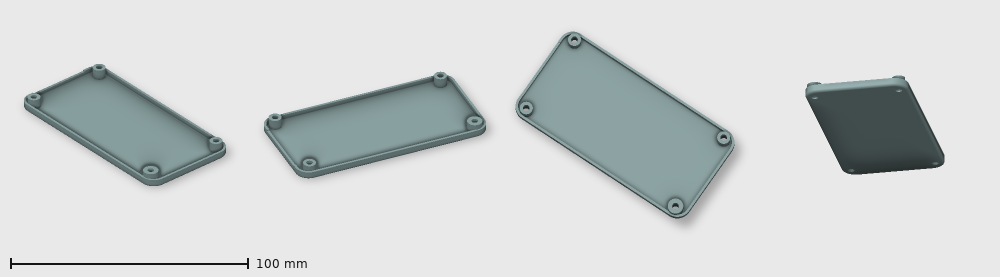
import cadquery as cq

length = 87.0
width = 44.0
rim_height = 3.5
corner_radius = 6.0
bottom_fillet = 1.05

wall = 1.05
floor_thickness = 1.2
floor_fillet = 0.35

boss_top = 5.7
boss_diameter = 5.5
large_boss_diameter = 6.5
hole_diameter = 2.8
boss_spacing_x = 75.9
boss_spacing_y = 36.0

relief_length = 27.75
relief_depth = 0.5


def rounded_block(size_x, size_y, bottom, top, radius, lower_fillet):
    """Upright block with rounded corners and a rounded bottom edge."""
    block = cq.Workplane("XY").workplane(offset=bottom).rect(size_x, size_y).extrude(top - bottom)
    return block.edges("|Z").fillet(radius).faces("<Z").edges().fillet(lower_fillet)


def make_tray():
    outside = rounded_block(length, width, 0, rim_height, corner_radius, bottom_fillet)
    cavity = rounded_block(
        length - 2 * wall,
        width - 2 * wall,
        floor_thickness,
        rim_height,
        corner_radius - wall,
        floor_fillet,
    )
    return outside.cut(cavity)


def cut_wall_relief(body):
    relief = cq.Workplane("XY").box(wall, relief_length, relief_depth, centered=(False, True, False))
    return body.cut(relief.translate((-length / 2, 0, rim_height - relief_depth)))


def add_bosses(body):
    """Add the four corner bosses, with holes running through the floor."""
    for side_x in (-1, 1):
        for side_y in (-1, 1):
            x = side_x * boss_spacing_x / 2
            y = side_y * boss_spacing_y / 2
            is_large = side_x > 0 and side_y < 0
            diameter = large_boss_diameter if is_large else boss_diameter
            boss = cq.Workplane("XY").center(x, y).circle(diameter / 2).extrude(boss_top - floor_thickness)
            body = body.union(boss.translate((0, 0, floor_thickness)))
            hole = cq.Workplane("XY").center(x, y).circle(hole_diameter / 2).extrude(boss_top)
            body = body.cut(hole)
    return body


result = add_bosses(cut_wall_relief(make_tray()))